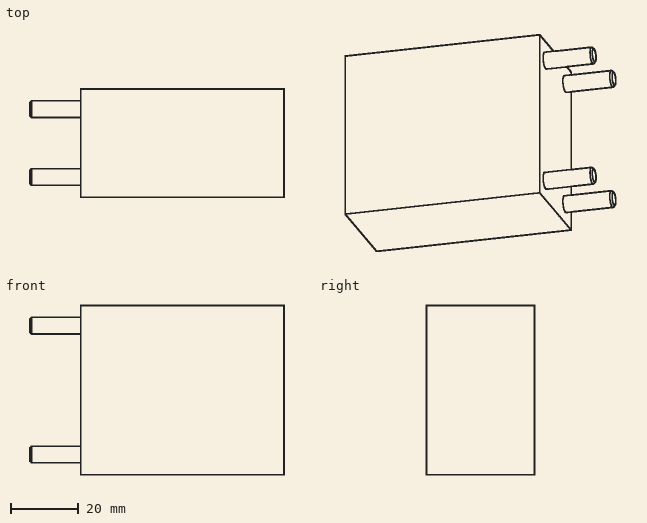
import cadquery as cq

block_length = 60.0
block_width = 32.0
block_height = 50.0

pin_diameter = 5.0
pin_length = 15.0
pin_chamfer = 0.55
pin_inset = 6.0

pin_offset_y = block_width / 2 - pin_inset
pin_offset_z = block_height / 2 - pin_inset


def make_block():
    """Plain rectangular block running from X = 0 in the +X direction."""
    return cq.Workplane("XY").box(block_length, block_width, block_height, centered=(False, True, True))


def make_pin(y, z):
    """Round pin standing on the block face, with a chamfered free end."""
    pin = cq.Workplane("YZ").center(y, z).circle(pin_diameter / 2).extrude(-pin_length)
    return pin.faces("<X").chamfer(pin_chamfer)


block = make_block()

pins = []
for y in (-pin_offset_y, pin_offset_y):
    for z in (-pin_offset_z, pin_offset_z):
        pins.append(make_pin(y, z).val())

result = cq.Compound.makeCompound([block.val(), *pins])